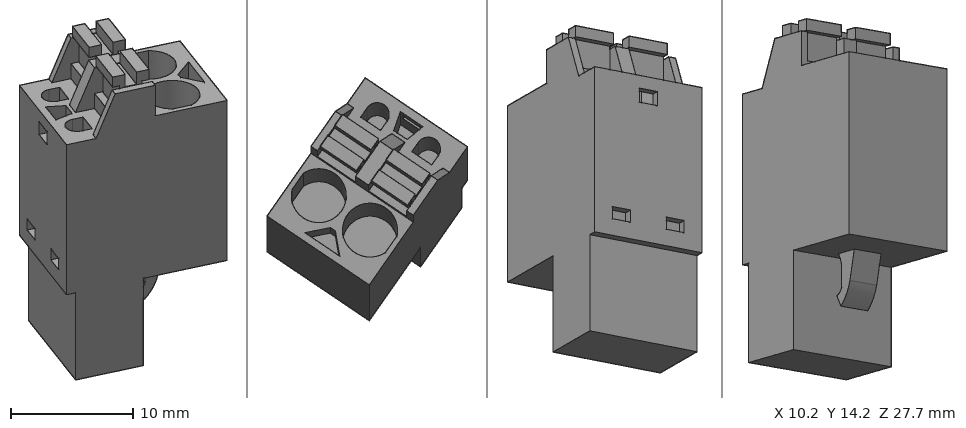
import cadquery as cq

width = 10.15
depth = 14.2
height = 27.73
pole_pitch = width / 2
pole_centers = [-pole_pitch / 2, pole_pitch / 2]

body_bottom = 8.35
front_shelf_z = 22.68
rear_shelf_z = 23.65
tower_top = 26.57
tower_front = 4.3
tower_back = 7.85
slope_foot_y = 2.6
plug_front = 0.8
plug_back = 6.8

channel_width = 3.77
channel_floor_z = 24.13

button_width = 3.6
button_front = 4.38
button_back = 7.6
head_length = 1.1
head_height = 0.97
front_lip = 0.6
rear_lip = 0.65
slot_floor_z = tower_top

test_hole_diameter = 4.5
test_hole_y = 10.4
test_hole_depth = 5.55
test_hole_side_wall = 0.45

wire_entry_width = 1.97
wire_entry_flat_y = 2.9
wire_entry_center_y = 1.97
wire_entry_depth = 5.55

front_pocket_near_y = 0.7
front_pocket_far_y = 2.3
front_pocket_near_width = 2.22
front_pocket_far_width = 1.33
front_pocket_depth = 5.55
rear_pocket_near_y = 12.05
rear_pocket_far_y = 13.6
rear_pocket_near_width = 0.5
rear_pocket_far_width = 3.47
rear_pocket_depth = 2.33

window_width = 1.7
upper_window_bottom = 20.35
upper_window_top = 21.57
lower_window_bottom = 9.8
lower_window_top = 10.85
lower_window_depth = 0.78

latch_width = 2.77
latch_root_back = (10.15, body_bottom)
latch_root_front = (8.01, body_bottom)
latch_bend_start = (9.57, 5.82)
latch_bend_middle = (9.23, 5.0)
latch_tip = (8.37, 3.88)
latch_barb = (7.82, 4.85)
latch_throat_middle = (8.24, 5.1)
latch_inner_bottom = (8.45, 5.44)
latch_inner_top = (8.45, 7.27)
latch_root_curve_middle = (8.32, 7.8)


def extrude_side_profile(profile, center_x, thickness):
    """Extrude a closed YZ profile along X, centred on center_x."""
    return profile.extrude(thickness / 2, both=True).translate((center_x, 0, 0))


def block(center_x, size_x, y_range, z_range):
    """Box centred on center_x that spans the given Y and Z ranges."""
    size_y = y_range[1] - y_range[0]
    size_z = z_range[1] - z_range[0]
    box = cq.Workplane("XY").box(size_x, size_y, size_z, centered=(True, False, False))
    return box.translate((center_x, y_range[0], z_range[0]))


def housing_blank():
    profile = cq.Workplane("YZ").polyline([
        (plug_front, 0),
        (plug_back, 0),
        (plug_back, body_bottom),
        (depth, body_bottom),
        (depth, rear_shelf_z),
        (tower_back, rear_shelf_z),
        (tower_back, tower_top),
        (tower_front, tower_top),
        (slope_foot_y, front_shelf_z),
        (0, front_shelf_z),
        (0, body_bottom),
        (plug_front, body_bottom),
    ]).close()
    return extrude_side_profile(profile, 0, width)


def latch():
    """Curved spring hook that hangs behind the plug."""
    profile = (
        cq.Workplane("YZ")
        .moveTo(*latch_root_back)
        .lineTo(*latch_bend_start)
        .threePointArc(latch_bend_middle, latch_tip)
        .lineTo(*latch_barb)
        .threePointArc(latch_throat_middle, latch_inner_bottom)
        .lineTo(*latch_inner_top)
        .threePointArc(latch_root_curve_middle, latch_root_front)
        .close()
    )
    return extrude_side_profile(profile, 0, latch_width)


def button_channel(center_x):
    """Clearance between the tower walls: from the shelf at the front, from the floor behind it."""
    ledge_cut = block(center_x, channel_width, (0, tower_front), (front_shelf_z, height))
    floor_cut = block(center_x, channel_width, (tower_front, tower_back), (channel_floor_z, height))
    return ledge_cut.union(floor_cut)


def test_hole(center_x):
    """Blind round hole, cut flat where it comes close to the side face."""
    bottom = rear_shelf_z - test_hole_depth
    cylinder = (
        cq.Workplane("XY", origin=(center_x, test_hole_y, bottom))
        .circle(test_hole_diameter / 2)
        .extrude(test_hole_depth)
    )
    return cylinder.intersect(block(0, width - 2 * test_hole_side_wall, (0, depth), (0, height)))


def wire_entry(center_x):
    radius = wire_entry_width / 2
    return (
        cq.Workplane("XY", origin=(center_x, 0, front_shelf_z - wire_entry_depth))
        .moveTo(-radius, wire_entry_flat_y)
        .lineTo(-radius, wire_entry_center_y)
        .threePointArc((0, wire_entry_center_y - radius), (radius, wire_entry_center_y))
        .lineTo(radius, wire_entry_flat_y)
        .close()
        .extrude(wire_entry_depth)
    )


def tapered_pocket(near_y, near_width, far_y, far_width, bottom, top):
    """Trapezoid pocket, symmetric about X = 0."""
    return (
        cq.Workplane("XY", origin=(0, 0, bottom))
        .polyline([
            (-near_width / 2, near_y),
            (near_width / 2, near_y),
            (far_width / 2, far_y),
            (-far_width / 2, far_y),
        ])
        .close()
        .extrude(top - bottom)
    )


def make_housing():
    housing = housing_blank().union(latch())
    for center_x in pole_centers:
        lower_window = block(
            center_x, window_width, (0, lower_window_depth), (lower_window_bottom, lower_window_top)
        )
        housing = housing.cut(button_channel(center_x))
        housing = housing.cut(test_hole(center_x))
        housing = housing.cut(wire_entry(center_x))
        housing = housing.cut(lower_window)

    front_pocket = tapered_pocket(
        front_pocket_near_y, front_pocket_near_width,
        front_pocket_far_y, front_pocket_far_width,
        front_shelf_z - front_pocket_depth, front_shelf_z,
    )
    rear_pocket = tapered_pocket(
        rear_pocket_near_y, rear_pocket_near_width,
        rear_pocket_far_y, rear_pocket_far_width,
        rear_shelf_z - rear_pocket_depth, rear_shelf_z,
    )
    upper_window = block(
        0, window_width, (0, front_pocket_near_y), (upper_window_bottom, upper_window_top)
    )
    return housing.cut(front_pocket).cut(rear_pocket).cut(upper_window)


def make_button(center_x):
    """Push button with two lipped heads, standing on the channel floor."""
    stem_front = button_front + front_lip
    stem_back = button_back - rear_lip
    slot_front = button_front + head_length
    slot_back = button_back - head_length
    lip_z = height - head_height
    profile = cq.Workplane("YZ").polyline([
        (stem_front, channel_floor_z),
        (stem_back, channel_floor_z),
        (stem_back, lip_z),
        (button_back, lip_z),
        (button_back, height),
        (slot_back, height),
        (slot_back, slot_floor_z),
        (slot_front, slot_floor_z),
        (slot_front, height),
        (button_front, height),
        (button_front, lip_z),
        (stem_front, lip_z),
    ]).close()
    return extrude_side_profile(profile, center_x, button_width)


housing = make_housing()
buttons = [make_button(center_x) for center_x in pole_centers]

result = cq.Compound.makeCompound([housing.val(), *[button.val() for button in buttons]])